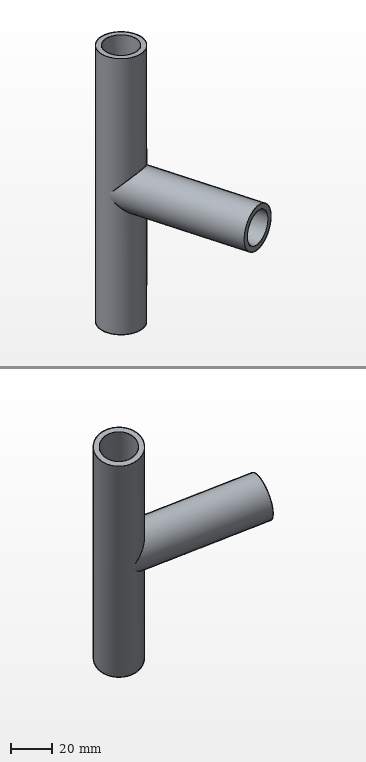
import cadquery as cq

outer_diameter = 25.0
wall_thickness = 3.0
run_length = 158.0
branch_length = 78.0

outer_radius = outer_diameter / 2
bore_radius = outer_radius - wall_thickness


def tee_body(radius):
    """Solid tee of the given radius, centred where the run and branch axes cross."""
    run = cq.Workplane("XY").circle(radius).extrude(run_length / 2, both=True)
    branch = cq.Workplane("YZ").circle(radius).extrude(branch_length)
    return run.union(branch)


result = tee_body(outer_radius).cut(tee_body(bore_radius))